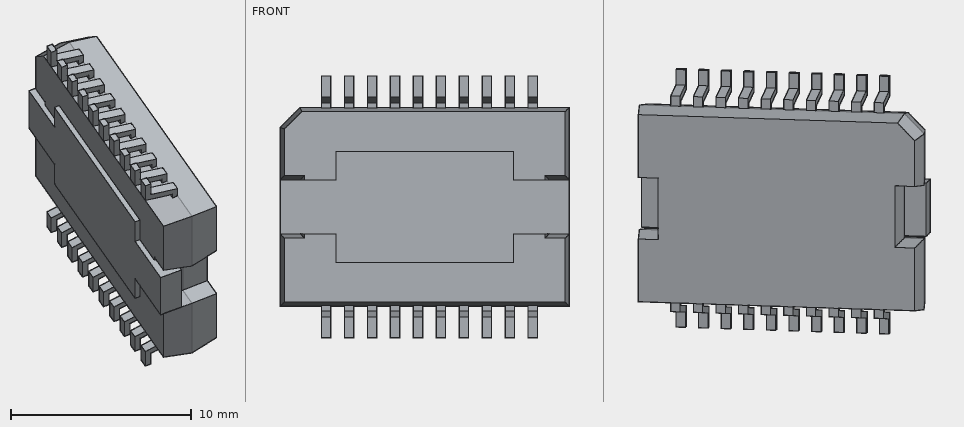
import cadquery as cq
import math

BODY_LENGTH = 16.0
BODY_WIDTH = 11.0
BODY_HALF_THICKNESS = 1.65
DRAFT_ANGLE = 8.0
CORNER_CHAMFER = 1.1
NOTCH_WIDTH = 3.0
NOTCH_DEPTH = 1.12

SLUG_STANDOFF = 0.3
SLUG_THICKNESS = 1.3
PAD_LENGTH = 9.8
PAD_WIDTH = 6.15

LEADS_PER_ROW = 10
LEAD_PITCH = 1.27
LEAD_WIDTH = 0.53
LEAD_ROW_OFFSET = 0.26
LEAD_SPAN = 14.5
LEAD_ROOT_THICKNESS = 0.3
LEAD_FOOT_THICKNESS = 0.35
LEAD_EMBED = 0.5
SHOULDER_OUTER_Z = 6.07
FOOT_HEEL_Z = 6.08
ARM_ANGLE = 11.0

FACE_Y = -BODY_HALF_THICKNESS
SLUG_FACE_Y = FACE_Y - SLUG_STANDOFF


def make_body():
    """Body with one chamfered corner and end notches, drafted both ways from Y = 0."""
    end_x = BODY_LENGTH / 2
    side_z = BODY_WIDTH / 2
    outline = [
        (-end_x, -side_z),
        (end_x, -side_z),
        (end_x, side_z),
        (-end_x + CORNER_CHAMFER, side_z),
        (-end_x, side_z - CORNER_CHAMFER),
    ]
    front_half = (
        cq.Workplane("XZ")
        .polyline(outline)
        .close()
        .extrude(BODY_HALF_THICKNESS, taper=DRAFT_ANGLE)
    )
    for side in (-1, 1):
        front_half = front_half.cut(make_notch_cutter(side * end_x))
    return front_half.union(front_half.mirror("XZ"))


def make_notch_cutter(end_x):
    """Block centred on one end of the body, shrinking from the -Y face to the parting plane."""
    draft_offset = BODY_HALF_THICKNESS * math.tan(math.radians(DRAFT_ANGLE))
    return (
        cq.Workplane("XZ", origin=(end_x, FACE_Y, 0))
        .rect(2 * (NOTCH_DEPTH + draft_offset), NOTCH_WIDTH + 2 * draft_offset)
        .extrude(-BODY_HALF_THICKNESS, taper=DRAFT_ANGLE)
    )


def make_slug():
    """Bar filling the front of both end notches, plus the wider pad on the body face."""
    bar = (
        cq.Workplane("XZ", origin=(0, SLUG_FACE_Y + SLUG_THICKNESS, 0))
        .rect(BODY_LENGTH, NOTCH_WIDTH)
        .extrude(SLUG_THICKNESS)
    )
    pad = (
        cq.Workplane("XZ", origin=(0, FACE_Y, 0))
        .rect(PAD_LENGTH, PAD_WIDTH)
        .extrude(SLUG_STANDOFF)
    )
    return bar.union(pad)


def make_lead(center_x):
    """One lead of the +Z row: root, sloping arm and foot."""
    slope = math.tan(math.radians(ARM_ANGLE))
    root_y = -LEAD_ROOT_THICKNESS
    heel_y = FACE_Y - LEAD_FOOT_THICKNESS
    root_z = BODY_WIDTH / 2 - LEAD_EMBED
    tip_z = LEAD_SPAN / 2
    shoulder_inner_z = FOOT_HEEL_Z - slope * (root_y - heel_y)
    foot_back_z = SHOULDER_OUTER_Z + slope * BODY_HALF_THICKNESS
    profile = [
        (0, root_z),
        (0, SHOULDER_OUTER_Z),
        (FACE_Y, foot_back_z),
        (FACE_Y, tip_z),
        (heel_y, tip_z),
        (heel_y, FOOT_HEEL_Z),
        (root_y, shoulder_inner_z),
        (root_y, root_z),
    ]
    return (
        cq.Workplane("YZ", origin=(center_x - LEAD_WIDTH / 2, 0, 0))
        .polyline(profile)
        .close()
        .extrude(LEAD_WIDTH)
    )


result = make_body().union(make_slug())

first_lead_x = LEAD_ROW_OFFSET - LEAD_PITCH * (LEADS_PER_ROW - 1) / 2
for index in range(LEADS_PER_ROW):
    lead = make_lead(first_lead_x + index * LEAD_PITCH)
    result = result.union(lead).union(lead.mirror("XY"))